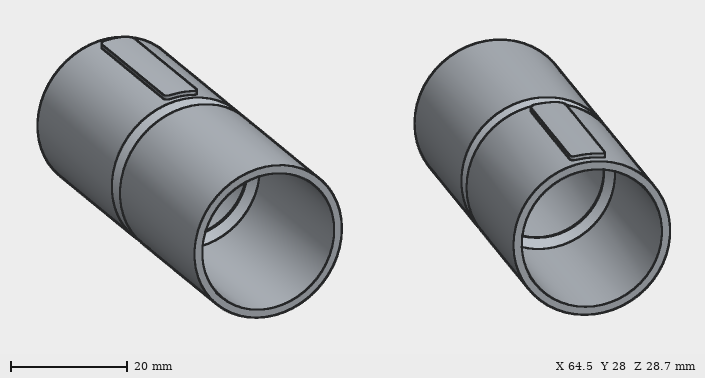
import cadquery as cq

length = 64.5
outer_radius = 28.0 / 2
bore_radius = 25.0 / 2
stop_radius = 22.0 / 2

groove_depth = bore_radius - stop_radius
groove_width = 3.35
floor_width = 0.3
middle = length / 2

plate_start = 2.0
plate_length = 27.2
plate_width = 6.25
plate_corner = 0.95
plate_rise = 0.7


def necked_cylinder(radius):
    """Solid cylinder along X, narrowed at mid-length by a groove with sloped flanks."""
    neck_radius = radius - groove_depth
    return (
        cq.Workplane("XY")
        .lineTo(0, radius)
        .lineTo(middle - groove_width / 2, radius)
        .lineTo(middle - floor_width / 2, neck_radius)
        .lineTo(middle + floor_width / 2, neck_radius)
        .lineTo(middle + groove_width / 2, radius)
        .lineTo(length, radius)
        .lineTo(length, 0)
        .close()
        .revolve(360, (0, 0, 0), (1, 0, 0))
    )


def label_plate():
    """Rounded rectangular plate whose top is concentric with the tube."""
    plate_radius = outer_radius + plate_rise
    block = (
        cq.Workplane("XY", origin=(plate_start + plate_length / 2, 0, 0))
        .rect(plate_length, plate_width)
        .extrude(plate_radius)
        .edges("|Z")
        .fillet(plate_corner)
    )
    envelope = cq.Workplane("YZ").circle(plate_radius).extrude(length)
    return block.intersect(envelope)


outside = necked_cylinder(outer_radius).union(label_plate())
result = outside.cut(necked_cylinder(bore_radius))